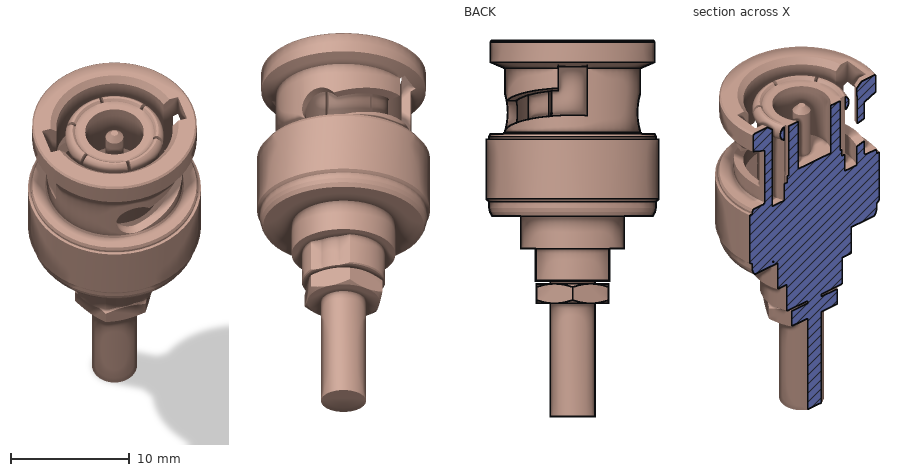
import cadquery as cq
import math


cable_end = 0.0
nut_bottom = 9.56
nut_top = 11.2
clamp_bottom = 11.4
collar_bottom = 14.17
grip_bottom = 16.91
grip_top = 23.86
shell_base = 24.0
flange_bottom = 29.38
flange_rim_bottom = 29.9
total_height = 31.75

cable_radius = 1.9
hex_across_flats = 6.1
hex_face_radius = hex_across_flats / 2
hex_corner_radius = hex_face_radius / math.cos(math.radians(30))
nut_chamfer_angle = 30.0
clamp_radius = hex_corner_radius
clamp_core_radius = 3.15
clamp_chamfer = 0.1
collar_radius = 4.38

grip_radius = 7.3
grip_shoulder_radius = 7.06
grip_shoulder_top = 23.4
grip_top_chamfer_height = 0.25
grip_top_chamfer_width = 0.125
grip_lower_edge = 18.37
grip_step = grip_radius - grip_shoulder_radius
grip_bevel_start = 17.6
grip_bevel_middle = 17.25
grip_bevel_middle_radius = 6.97
grip_bottom_radius = 6.78

shell_radius = 5.72
shell_bore_radius = 4.92
flange_radius = 6.95
flange_chamfer = 0.15
mouth_radius = 5.41
mouth_depth = mouth_radius - shell_bore_radius
shell_floor = 23.2

entry_width = 2.45
entry_reach = 6.03
lock_hole_radius = 1.61
lock_hole_level = 25.66
ramp_angle = 14.0
ramp_height = 2.32

sleeve_radius = 3.75
sleeve_bulge_radius = 4.14
sleeve_tip = 31.0
sleeve_tip_radius = 3.72
sleeve_tip_inner_radius = 3.53
bulge_peak = sleeve_tip - 0.6
bulge_bottom = sleeve_tip - 1.5
dielectric_radius = 3.33
dielectric_face = sleeve_tip - 0.2
dielectric_bore_radius = 2.47
dielectric_bore_floor = dielectric_face - 5.0
pin_radius = 0.75
pin_tip = dielectric_face - 0.15
pin_tip_radius = 0.3
pin_taper_length = 0.5
sleeve_slot_count = 6
sleeve_slot_width = 0.3
sleeve_slot_bottom = 24.95
sleeve_slot_step = 25.6
sleeve_slot_shallow_radius = 3.45


def cylinder(radius, bottom, top):
    return cq.Workplane("XY").workplane(offset=bottom).circle(radius).extrude(top - bottom)


def revolve_profile(points):
    """Turn a closed (radius, level) outline about the Z axis."""
    return cq.Workplane("XZ").polyline(points).close().revolve(360, (0, 0), (0, 1))


def make_hexagon(bottom, top):
    """Hexagonal prism with two of its flats facing -X and +X."""
    hexagon = cq.Workplane("XY").workplane(offset=bottom).polygon(6, 2 * hex_corner_radius)
    return hexagon.extrude(top - bottom).rotate((0, 0, 0), (0, 0, 1), 90)


def make_nut():
    """Hexagonal nut with its corners chamfered at both ends."""
    drop = (hex_corner_radius - hex_face_radius) * math.tan(math.radians(nut_chamfer_angle))
    rounded_corners = revolve_profile([
        (0, nut_bottom),
        (hex_face_radius, nut_bottom),
        (hex_corner_radius, nut_bottom + drop),
        (hex_corner_radius, nut_top - drop),
        (hex_face_radius, nut_top),
        (0, nut_top),
    ])
    return make_hexagon(nut_bottom, nut_top).intersect(rounded_corners)


def make_clamp():
    """Round clamp with a flat on -X and +X, a slightly prouder core showing through each flat."""
    barrel = cylinder(clamp_radius, clamp_bottom, collar_bottom).faces("<Z").chamfer(clamp_chamfer)
    between_flats = cq.Workplane("XY").box(hex_across_flats, 2 * clamp_radius, 2 * total_height)
    core = cylinder(clamp_core_radius, clamp_bottom, collar_bottom)
    return barrel.intersect(between_flats).union(core)


def make_grip():
    """Grip ring, open at the top where the well of the shell runs down into it."""
    grip = revolve_profile([
        (0, grip_bottom),
        (grip_bottom_radius, grip_bottom),
        (grip_bevel_middle_radius, grip_bevel_middle),
        (grip_shoulder_radius, grip_bevel_start),
        (grip_shoulder_radius, grip_lower_edge - grip_step),
        (grip_radius, grip_lower_edge),
        (grip_radius, grip_shoulder_top),
        (grip_shoulder_radius, grip_shoulder_top),
        (grip_shoulder_radius, grip_top - grip_top_chamfer_height),
        (grip_shoulder_radius - grip_top_chamfer_width, grip_top),
        (0, grip_top),
    ])
    return grip.cut(cylinder(shell_bore_radius, shell_floor, grip_top))


def make_shell():
    """Hollow bayonet shell with its end flange and conical mouth."""
    return revolve_profile([
        (shell_bore_radius, grip_top),
        (shell_radius + shell_base - grip_top, grip_top),
        (shell_radius, shell_base),
        (shell_radius, flange_bottom),
        (flange_radius, flange_rim_bottom),
        (flange_radius, total_height - flange_chamfer),
        (flange_radius - flange_chamfer, total_height),
        (mouth_radius, total_height),
        (shell_bore_radius, total_height - mouth_depth),
    ])


def make_bayonet_slot():
    """Entry slot on -Y, locking hole on -X and the straight ramp that joins them."""
    entry = (
        cq.Workplane("XY")
        .workplane(offset=lock_hole_level)
        .center(0, -entry_reach / 2)
        .rect(entry_width, entry_reach)
        .extrude(total_height - lock_hole_level)
    )
    lock_hole = (
        cq.Workplane("YZ")
        .center(0, lock_hole_level)
        .circle(lock_hole_radius)
        .extrude(-grip_radius)
    )
    slope = math.radians(ramp_angle)
    tangent_y = -lock_hole_radius * math.sin(slope)
    tangent_z = lock_hole_level - lock_hole_radius * math.cos(slope)
    end_z = tangent_z + (entry_reach + tangent_y) * math.tan(slope)
    ramp = (
        cq.Workplane("YZ")
        .workplane(offset=entry_width / 2)
        .polyline([
            (tangent_y, tangent_z),
            (-entry_reach, end_z),
            (-entry_reach, end_z + ramp_height),
            (tangent_y, tangent_z + ramp_height),
        ])
        .close()
        .extrude(-grip_radius - entry_width / 2)
    )
    return entry.union(ramp).union(lock_hole)


def make_sleeve():
    """Slotted contact sleeve with a sprung bulge below its tip."""
    sleeve = (
        cq.Workplane("XZ")
        .moveTo(0, shell_floor)
        .lineTo(sleeve_radius, shell_floor)
        .lineTo(sleeve_radius, bulge_bottom)
        .threePointArc((sleeve_bulge_radius, bulge_peak), (sleeve_tip_radius, sleeve_tip))
        .lineTo(sleeve_tip_inner_radius, sleeve_tip)
        .lineTo(dielectric_radius, dielectric_face)
        .lineTo(0, dielectric_face)
        .close()
        .revolve(360, (0, 0), (0, 1))
    )
    for index in range(sleeve_slot_count):
        angle = index * 360 / sleeve_slot_count
        for depth_radius, bottom in (
            (dielectric_radius, sleeve_slot_step),
            (sleeve_slot_shallow_radius, sleeve_slot_bottom),
        ):
            slot = (
                cq.Workplane("XY")
                .workplane(offset=bottom)
                .center(shell_bore_radius / 2, 0)
                .rect(shell_bore_radius, sleeve_slot_width)
                .extrude(total_height - bottom)
                .cut(cylinder(depth_radius, bottom, total_height))
            )
            sleeve = sleeve.cut(slot.rotate((0, 0, 0), (0, 0, 1), angle))
    return sleeve


def make_pin():
    """Centre pin standing on the floor of the dielectric bore, tapered to a flat tip."""
    return revolve_profile([
        (0, dielectric_bore_floor),
        (pin_radius, dielectric_bore_floor),
        (pin_radius, pin_tip - pin_taper_length),
        (pin_tip_radius, pin_tip),
        (0, pin_tip),
    ])


shell = make_shell()
bayonet_slot = make_bayonet_slot()
for turn in (0, 180):
    shell = shell.cut(bayonet_slot.rotate((0, 0, 0), (0, 0, 1), turn))

bore = cylinder(dielectric_bore_radius, dielectric_bore_floor, dielectric_face)
contact = make_sleeve().cut(bore).union(make_pin())

result = (
    cylinder(cable_radius, cable_end, clamp_bottom)
    .union(make_nut())
    .union(make_clamp())
    .union(cylinder(collar_radius, collar_bottom, grip_bottom))
    .union(make_grip())
    .union(shell)
    .union(contact)
)